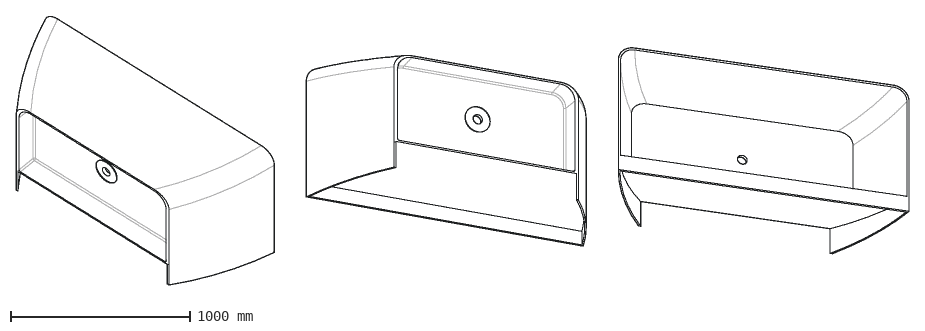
import cadquery as cq

back_width = 1690.0
front_width = 1125.0
depth = 575.0
back_height = 800.0
front_height = 700.0
side_bow = 32.0
shoulder_radius = 96.0

recess_width = 1082.0
recess_bottom = 169.0
recess_top = 688.0
recess_depth = 122.0
recess_draft = 3.0
recess_corner_radius = 88.0
recess_base_fillet = 10.0

drain_height = 440.0
drain_diameter = 55.0
drain_ring_diameter = 152.0
drain_ring_height = 5.0

recess_back_wall = 19.0

wall = 14.0
underside_front_height = 159.0
underside_back_height = 81.0


def plan_prism(half_front, half_back, length, height):
    """Extrude the symmetric plan, with bowed sides, up from the ground."""
    half_middle = (half_front + half_back) / 2 + side_bow
    return (
        cq.Workplane("XY")
        .moveTo(-half_front, 0)
        .lineTo(half_front, 0)
        .threePointArc((half_middle, length / 2), (half_back, length))
        .lineTo(-half_back, length)
        .threePointArc((-half_middle, length / 2), (-half_front, 0))
        .close()
        .extrude(height)
    )


def below_slope(front_z, back_z):
    """A wide block from the ground up to a plane that slopes from front to back."""
    return (
        cq.Workplane("YZ")
        .polyline([(0, 0), (depth, 0), (depth, back_z), (0, front_z)])
        .close()
        .extrude(back_width, both=True)
    )


def make_body(inset):
    """The rounded outer form, with its sides and roof moved inwards by the inset."""
    half_front = front_width / 2 - inset
    half_back = back_width / 2 - inset
    front_top = front_height - inset
    back_top = back_height - inset
    prism = plan_prism(half_front, half_back, depth, back_height)
    body = prism.intersect(below_slope(front_top, back_top))
    middle_height = (front_top + back_top) / 2
    middle_half_width = (half_front + half_back) / 2 + side_bow
    for side in (-1, 1):
        edge_middle = (side * middle_half_width, depth / 2, middle_height)
        shoulder = cq.selectors.NearestToPointSelector(edge_middle)
        body = body.edges(shoulder).fillet(shoulder_radius - inset)
    return body


def make_recess():
    height = recess_top - recess_bottom
    outline = (
        cq.Sketch()
        .rect(recess_width, height)
        .vertices(">Y")
        .fillet(recess_corner_radius)
    )
    recess = (
        cq.Workplane("XZ", origin=(0, 0, recess_bottom + height / 2))
        .placeSketch(outline)
        .extrude(-recess_depth, taper=recess_draft)
    )
    for side in (-1, 1):
        corner_middle = (side * recess_width / 2, recess_depth / 2, recess_bottom)
        lower_corner = cq.selectors.NearestToPointSelector(corner_middle)
        recess = recess.edges(lower_corner).fillet(recess_base_fillet)
    return recess.faces(">Y").edges().fillet(recess_base_fillet)


def make_drain_ring():
    """A low disc standing proud of the recess back, with its rear face on that back."""
    back = cq.Workplane("XZ", origin=(0, recess_depth, drain_height))
    return back.circle(drain_ring_diameter / 2).extrude(drain_ring_height)


def make_drain_hole():
    return cq.Workplane("XZ", origin=(0, 0, drain_height)).circle(drain_diameter / 2).extrude(-depth)


def make_underside():
    cavity = plan_prism(
        front_width / 2 - wall, back_width / 2 - wall, depth - wall, underside_front_height
    )
    return cavity.intersect(below_slope(underside_front_height, underside_back_height))


def make_back_void():
    """The hollow behind the recess, open at the back above the sloping underside."""
    void_start = recess_depth + recess_back_wall
    behind_recess = cq.Workplane("XY").box(
        back_width, depth - void_start, back_height, centered=(True, False, False)
    ).translate((0, void_start, 0))
    floor = below_slope(underside_front_height + wall, underside_back_height + wall)
    return make_body(wall).intersect(behind_recess).cut(floor)


shell = make_body(0).cut(make_back_void()).cut(make_underside())
basin = shell.cut(make_recess()).union(make_drain_ring())
result = basin.cut(make_drain_hole())